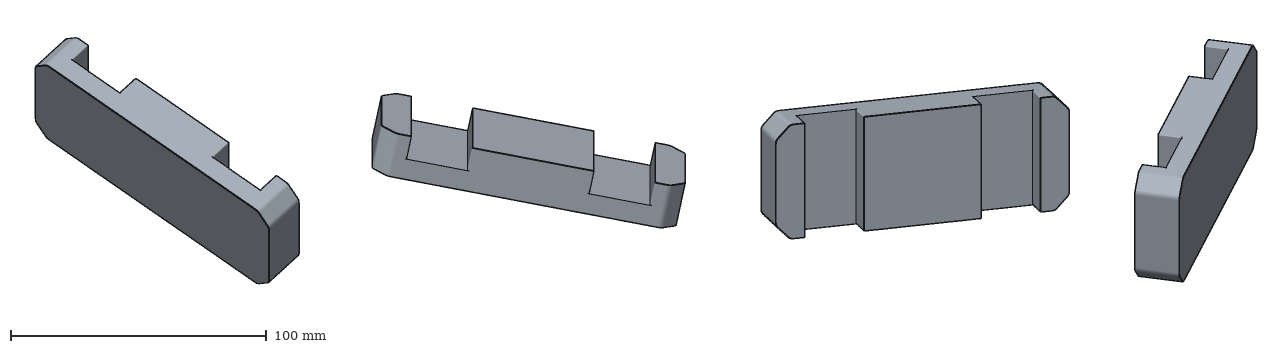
import cadquery as cq

length = 121.3
depth = 18.2
height = 47.3

corner_chamfer = 6.1
corner_radius = 3.0

slot_depth = 9.7
end_wall = 12.1
block_length = 48.5

slot_wall_radius = 0.5
face_chamfer = 0.2

slot_outer_x = length / 2 - end_wall
slot_inner_x = block_length / 2
slot_width = slot_outer_x - slot_inner_x
slot_center_x = (slot_outer_x + slot_inner_x) / 2
slot_center_y = (depth - slot_depth) / 2


def make_body():
    """Plate with clipped corners whose bends are rounded."""
    plate = cq.Workplane("XY").box(length, depth, height)
    clipped = plate.edges("|Y").chamfer(corner_chamfer)
    return clipped.edges("|Y").fillet(corner_radius)


def make_slot(side):
    """Rectangular slot on the left (-1) or right (+1) side of the central block."""
    slot = cq.Workplane("XY").box(slot_width, slot_depth, height)
    return slot.translate((side * slot_center_x, slot_center_y, 0))


def round_slot_walls(body):
    """Round the top and bottom edges of the slot side walls."""
    flat_half_length = length / 2 - corner_chamfer - corner_radius
    between_corners = cq.selectors.BoxSelector(
        (-flat_half_length, -depth, -height),
        (flat_half_length, depth, height),
    )
    wall_edges = body.edges("|Y").edges(between_corners)
    return wall_edges.fillet(slot_wall_radius)


def break_face_edges(body):
    """Chamfer every edge around the front face and the back faces."""
    return body.faces("<Y or >Y").edges().chamfer(face_chamfer)


result = make_body()
for side in (-1, 1):
    result = result.cut(make_slot(side))
result = round_slot_walls(result)
result = break_face_edges(result)